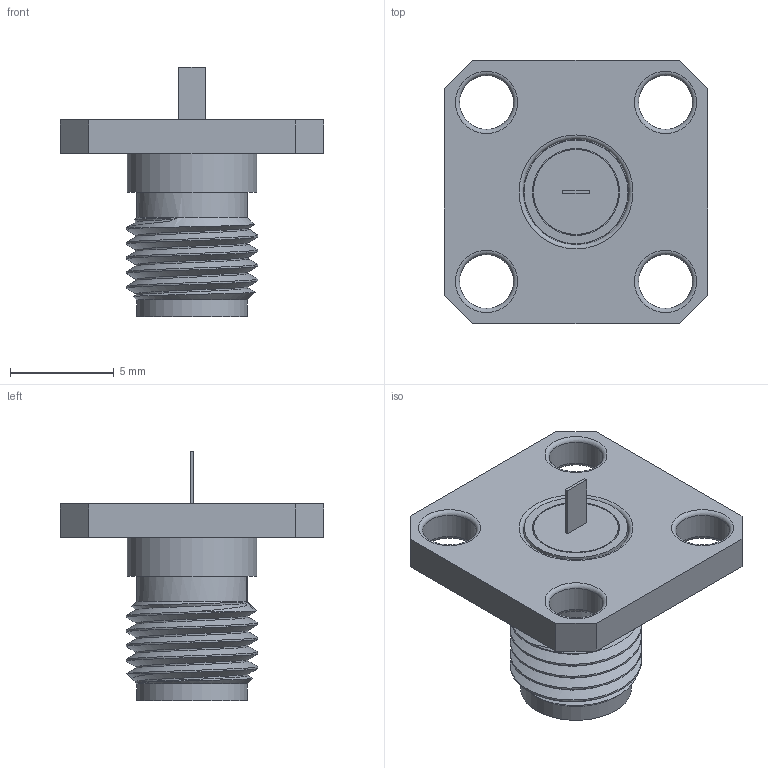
import cadquery as cq
import math

flange_side = 12.7
flange_thickness = 1.63
corner_chamfer = 1.37

hole_diameter = 2.6
hole_spacing = 8.64
edge_radius = 0.2

collar_diameter = 6.24
collar_length = 1.87
barrel_diameter = 5.35
neck_length = 1.21
thread_length = 3.97
body_height = 9.5
overall_height = 12.04

thread_diameter = 6.35
thread_root_diameter = 5.43
thread_pitch = 0.7056
thread_phase = 0.25
crest_width = thread_pitch / 8
flank_angle = 30.0
core_overlap = 0.05
trim_margin = 0.1

bore_diameter = 5.1
sleeve_outer_diameter = 5.0
sleeve_inner_diameter = 4.2
insulator_diameter = 4.1
groove_depth = 0.5

blade_width = 1.3
blade_thickness = 0.15
blade_height = overall_height - body_height

collar_bottom = -flange_thickness - collar_length
thread_top = collar_bottom - neck_length
thread_bottom = thread_top - thread_length


def cylinder(diameter, bottom, top):
    return cq.Workplane("XY", origin=(0, 0, bottom)).circle(diameter / 2).extrude(top - bottom)


def make_flange():
    flange = cq.Workplane("XY").rect(flange_side, flange_side).extrude(-flange_thickness)
    flange = flange.edges("|Z").chamfer(corner_chamfer)
    holes = (
        cq.Workplane("XY")
        .rect(hole_spacing, hole_spacing, forConstruction=True)
        .vertices()
        .circle(hole_diameter / 2)
        .extrude(-flange_thickness)
    )
    return flange.cut(holes).edges("%CIRCLE").fillet(edge_radius)


def make_thread():
    """Helical ridge on a core, trimmed by 45 degree lead-ins at both ends."""
    crest_radius = thread_diameter / 2
    inner_radius = thread_root_diameter / 2 - core_overlap
    half_crest = crest_width / 2
    half_base = half_crest + (crest_radius - inner_radius) * math.tan(math.radians(flank_angle))

    turns = math.ceil(thread_length / thread_pitch) + 2
    start = thread_bottom + thread_phase - thread_pitch
    path = cq.Wire.makeHelix(thread_pitch, turns * thread_pitch, inner_radius)
    ridge = (
        cq.Workplane("XZ")
        .moveTo(inner_radius, -half_base)
        .lineTo(crest_radius, -half_crest)
        .lineTo(crest_radius, half_crest)
        .lineTo(inner_radius, half_base)
        .close()
        .sweep(cq.Workplane(path), isFrenet=True)
        .translate((0, 0, start))
    )

    barrel_radius = barrel_diameter / 2
    envelope_radius = crest_radius + trim_margin
    lead_in = envelope_radius - barrel_radius
    envelope = (
        cq.Workplane("XZ")
        .moveTo(0, thread_bottom)
        .lineTo(barrel_radius, thread_bottom)
        .lineTo(envelope_radius, thread_bottom + lead_in)
        .lineTo(envelope_radius, thread_top - lead_in)
        .lineTo(barrel_radius, thread_top)
        .lineTo(0, thread_top)
        .close()
        .revolve(360, (0, 0, 0), (0, 1, 0))
    )
    core = cylinder(thread_root_diameter, thread_bottom, thread_top)
    return core.union(ridge).intersect(envelope)


def make_groove(outer_diameter, inner_diameter):
    outer = cylinder(outer_diameter, -groove_depth, 0)
    return outer.cut(cylinder(inner_diameter, -groove_depth, 0))


def round_bore_rim(body):
    """Fillet the largest circle in the top face, which is the bore rim."""
    rim = cq.selectors.RadiusNthSelector(-1)
    return body.faces(">Z").edges("%CIRCLE").edges(rim).fillet(edge_radius)


def make_blade():
    return cq.Workplane("XY").rect(blade_width, blade_thickness).extrude(blade_height)


flange = make_flange()
flange = flange.cut(make_groove(bore_diameter, sleeve_outer_diameter))
flange = round_bore_rim(flange)
flange = flange.cut(make_groove(sleeve_inner_diameter, insulator_diameter))

result = (
    flange.union(cylinder(collar_diameter, collar_bottom, -flange_thickness))
    .union(cylinder(barrel_diameter, -body_height, collar_bottom))
    .union(make_thread())
    .union(make_blade())
)